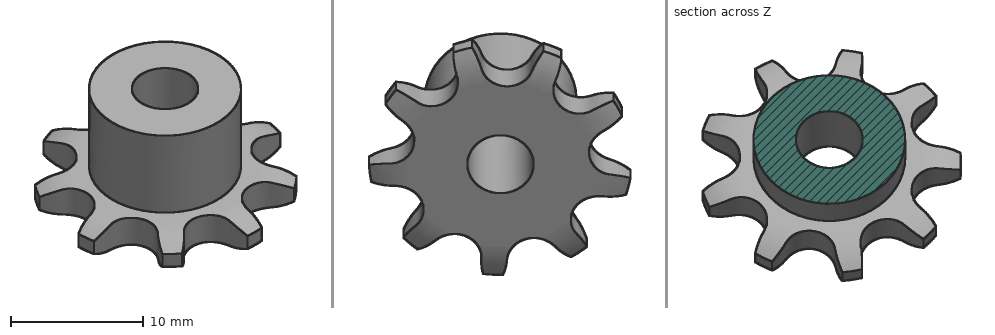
import cadquery as cq
import math

teeth = 9
pitch_radius = 8.77
seat_radius = 2.02
flank_radius = 6.14
tip_radius = 9.95
plate_thickness = 2.6
bevel_inner_radius = 7.15
bevel_depth = 0.67
hub_diameter = 11.5
bore_diameter = 5.0
total_height = 10.0

half_pitch_angle = math.pi / teeth
root_radius = pitch_radius - seat_radius

seat_x = pitch_radius * math.sin(half_pitch_angle)
seat_y = pitch_radius * math.cos(half_pitch_angle)
flank_start_x = seat_x - seat_radius
flank_center_x = flank_start_x - flank_radius


def flank_x(y):
    """Half width of the upright tooth on its convex flank."""
    return flank_center_x + math.sqrt(flank_radius**2 - (y - seat_y) ** 2)


def flank_tip():
    """Intersection of the flank circle with the tip circle."""
    distance = math.hypot(flank_center_x, seat_y)
    along = (tip_radius**2 - flank_radius**2 + distance**2) / (2 * distance)
    across = math.sqrt(tip_radius**2 - along**2)
    unit_x = flank_center_x / distance
    unit_y = seat_y / distance
    return along * unit_x + across * unit_y, along * unit_y - across * unit_x


def turned(point, angle):
    """Rotate a point clockwise about the sprocket axis."""
    x, y = point
    cosine = math.cos(angle)
    sine = math.sin(angle)
    return x * cosine + y * sine, y * cosine - x * sine


def mirrored(point):
    return -point[0], point[1]


def toothed_blank():
    root = turned((0, root_radius), half_pitch_angle)
    flank_start = (flank_start_x, seat_y)
    tip = flank_tip()
    flank_middle_y = (seat_y + tip[1]) / 2
    flank_middle = (flank_x(flank_middle_y), flank_middle_y)

    root_direction = math.atan2(root[1] - seat_y, root[0] - seat_x) % (2 * math.pi)
    middle_direction = (root_direction + math.pi) / 2
    seat_middle = (
        seat_x + seat_radius * math.cos(middle_direction),
        seat_y + seat_radius * math.sin(middle_direction),
    )

    tooth_arcs = [
        (mirrored(seat_middle), mirrored(flank_start)),
        (mirrored(flank_middle), mirrored(tip)),
        ((0, tip_radius), tip),
        (flank_middle, flank_start),
        (seat_middle, root),
    ]
    outline = cq.Workplane("XY").moveTo(*mirrored(root))
    for tooth in range(teeth):
        angle = 2 * half_pitch_angle * tooth
        for middle, end in tooth_arcs:
            outline = outline.threePointArc(turned(middle, angle), turned(end, angle))
    return outline.close().extrude(plate_thickness)


def rounded_disc():
    """Disc whose rim is rounded on both faces by arcs tangent to the faces."""
    bevel_width = tip_radius - bevel_inner_radius
    bevel_radius = (bevel_width**2 + bevel_depth**2) / (2 * bevel_depth)
    bevel_middle_r = bevel_inner_radius + bevel_width / 2
    bevel_middle_drop = bevel_radius - math.sqrt(bevel_radius**2 - (bevel_width / 2) ** 2)
    return (
        cq.Workplane("YZ")
        .lineTo(bevel_inner_radius, 0)
        .threePointArc((bevel_middle_r, bevel_middle_drop), (tip_radius, bevel_depth))
        .lineTo(tip_radius, plate_thickness - bevel_depth)
        .threePointArc(
            (bevel_middle_r, plate_thickness - bevel_middle_drop),
            (bevel_inner_radius, plate_thickness),
        )
        .lineTo(0, plate_thickness)
        .close()
        .revolve(360, (0, 0, 0), (0, 1, 0))
    )


plate = toothed_blank().intersect(rounded_disc())
hub = cq.Workplane("XY").circle(hub_diameter / 2).extrude(total_height)
bore = cq.Workplane("XY").circle(bore_diameter / 2).extrude(total_height)
result = plate.union(hub).cut(bore)